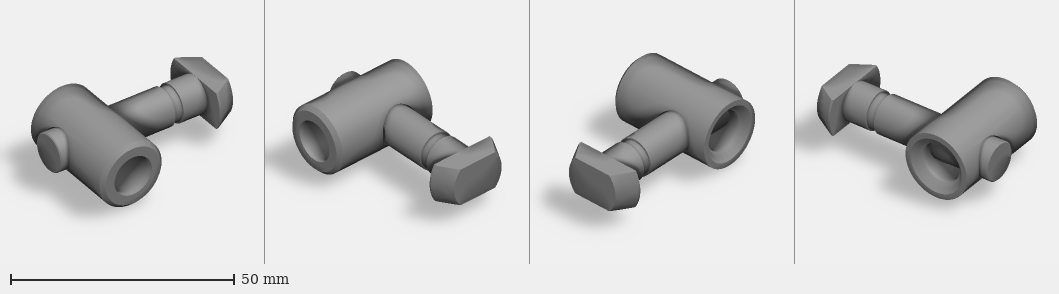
import cadquery as cq

sleeve_length = 27.8
sleeve_diameter = 17.0
sleeve_end_chamfer = 1.0
bore_diameter = 10.15
countersink_depth = 2.0
cross_hole_diameter = 10.2

bolt_x = 9.75
bolt_length = 45.4
bolt_end_y = -10.45
shank_radius = 9.7 / 2
bolt_end_chamfer = 0.25
groove_start_y = 20.8
groove_width = 2.25
groove_radius = 8.7 / 2

head_height = 5.45
head_rim_height = 0.55
head_radius = 19.25 / 2
head_top_radius = 7.1
head_thickness = 9.8

seat_outer_y = 9.25
seat_inner_y = -6.35
seat_slope = 0.57

head_top_y = bolt_end_y + bolt_length
head_base_y = head_top_y - head_height


def make_sleeve():
    """Chamfered tube with a countersunk bore and a cross hole for the bolt."""
    body = cq.Workplane("YZ").circle(sleeve_diameter / 2).extrude(sleeve_length)
    body = body.faces(">X").edges().chamfer(sleeve_end_chamfer)
    bore = cq.Workplane("YZ").circle(bore_diameter / 2).extrude(sleeve_length)
    countersink = cq.Workplane(
        cq.Solid.makeCone(
            bore_diameter / 2 + countersink_depth,
            bore_diameter / 2,
            countersink_depth,
            dir=cq.Vector(1, 0, 0),
        )
    )
    cross_hole = (
        cq.Workplane("XZ")
        .center(bolt_x, 0)
        .circle(cross_hole_diameter / 2)
        .extrude(sleeve_diameter / 2, both=True)
    )
    return body.cut(bore).cut(countersink).cut(cross_hole)


def make_shank():
    """Round shank with a chamfered tip and a rectangular groove."""
    groove_end_y = groove_start_y + groove_width
    profile = [
        (0, bolt_end_y),
        (shank_radius - bolt_end_chamfer, bolt_end_y),
        (shank_radius, bolt_end_y + bolt_end_chamfer),
        (shank_radius, groove_start_y),
        (groove_radius, groove_start_y),
        (groove_radius, groove_end_y),
        (shank_radius, groove_end_y),
        (shank_radius, head_base_y),
        (0, head_base_y),
    ]
    return cq.Workplane("XY").polyline(profile).close().revolve(360, (0, 0), (0, 1))


def make_head():
    """Tapered disc above a short straight rim, cut to two parallel flats."""
    profile = [
        (0, head_base_y),
        (head_radius, head_base_y),
        (head_radius, head_base_y + head_rim_height),
        (head_top_radius, head_top_y),
        (0, head_top_y),
    ]
    disc = cq.Workplane("XY").polyline(profile).close().revolve(360, (0, 0), (0, 1))
    flats = cq.Workplane("XY").box(2 * head_radius, 2 * bolt_length, head_thickness)
    return disc.intersect(flats)


def make_seat_cutter():
    """Cone pointing towards -X, its mouth level with the side of the shank."""
    seat_radius = (seat_outer_y - seat_inner_y) / 2
    seat_center_y = (seat_outer_y + seat_inner_y) / 2
    cone = cq.Solid.makeCone(
        seat_radius,
        0,
        seat_radius * seat_slope,
        pnt=cq.Vector(shank_radius, seat_center_y, 0),
        dir=cq.Vector(-1, 0, 0),
    )
    return cq.Workplane(cone)


def make_bolt():
    """Shank and head in one piece, with the conical seat cut into the shank."""
    bolt = make_shank().union(make_head()).cut(make_seat_cutter())
    return bolt.translate((bolt_x, 0, 0))


sleeve = make_sleeve()
bolt = make_bolt()

result = cq.Compound.makeCompound([*sleeve.solids().vals(), *bolt.solids().vals()])